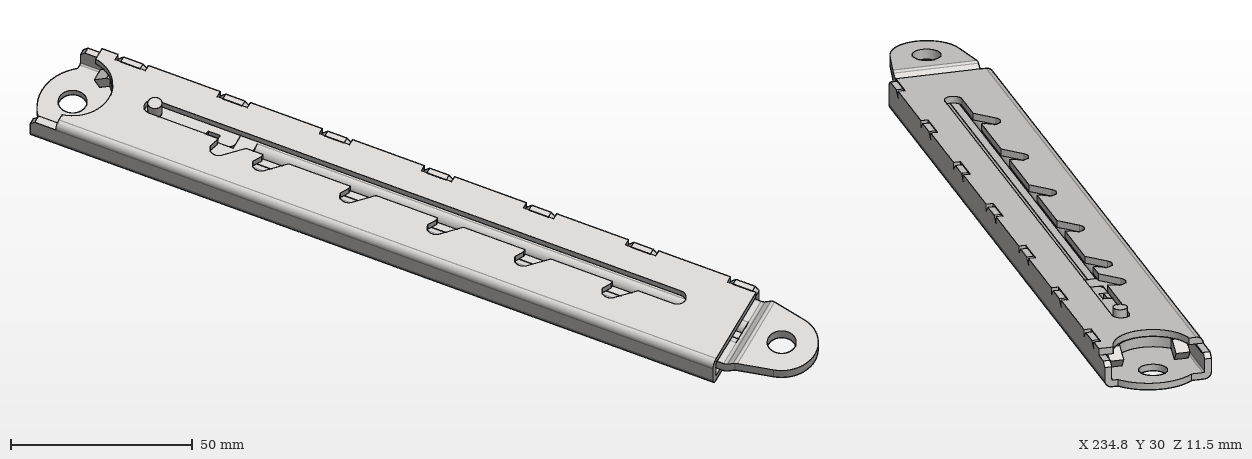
import cadquery as cq
import math

LENGTH = 234.8

SHEET = 2.0
WIDTH = 30.0
HALF_WIDTH = WIDTH / 2
HEIGHT = 9.5
HOUSING_END = 210.8
CEILING = HEIGHT - SHEET
OUTER_BEND = 2.0
INNER_BEND = 0.5
FRONT_WALL_START = 3.5
BACK_WALL_START = 5.6
WALL_CHAMFER = 1.5
LUG_RADIUS = 14.0
TOP_PLATE_START = 11.3
TOP_CUTOUT_RADIUS = 11.0

HOLE_DIAMETER = 8.0
FLOOR_HOLE_X = 9.5
LUG_HOLE_X = 224.7

PIN_Y = 2.23
SLOT_WIDTH = 5.0
SLOT_RADIUS = SLOT_WIDTH / 2
SLOT_START = 30.3
SLOT_END = 194.5
SEAT_RADIUS = SLOT_RADIUS
SEAT_Y = -3.5
ENTRY_SEAT_X = 55.5
FIRST_SEAT_X = 68.3
SEAT_PITCH = 26.5
SEAT_COUNT = 5
SEAT_LIP = 1.05
ENTRY_LIP = 1.75

NOTCH_START = 16.2
NOTCH_PITCH = 31.0
NOTCH_COUNT = 7
NOTCH_LENGTH = 9.2
TAB_SLOPE = 1.6
TAB_SINK = 0.2

WINDOW_START = 48.8
WINDOW_END = 59.0
WINDOW_BOTTOM = -0.7
WINDOW_TOP = 3.0

BAR_THICKNESS = 3.0
BAR_TOP = CEILING
BAR_BOTTOM = BAR_TOP - BAR_THICKNESS
BAR_HALF_WIDTH = 12.2
BEND_START = 213.5
BEND_END = 216.2
BEND_RADIUS = 2.0
LUG_TIP_RADIUS = LENGTH - LUG_HOLE_X
LEG_TIP_X = 12.5
LEG_BEND_X = 16.2
LEG_ROOT_X = 17.1
LEG_INNER_Y = 7.5
LEG_OUTER_Y = 11.5
LEG_TIP_Z = 4.7
LEG_HEEL_X = 14.0
LEG_HEEL_Z = 2.23
BAR_CUTOUT_RADIUS = 10.8

GROOVE_START = 63.6
GROOVE_END = 212.7
GROOVE_HALF_WIDTH = 4.0
GROOVE_FLOOR_HALF_WIDTH = 1.2
GROOVE_DEPTH = 1.9
RIB_BOTTOM = BAR_BOTTOM - GROOVE_DEPTH
RIB_BOTTOM_HALF_WIDTH = 2.0

PIN_X = 33.3
PIN_DIAMETER = 4.0
PIN_PROJECTION = 1.97
PIN_TOP = HEIGHT + PIN_PROJECTION
LINK_HALF_WIDTH = 4.2
LINK_END = 58.2
LINK_CORNER = 1.9
RECESS_START = 49.5
RECESS_END = 53.0
RECESS_TOP = 2.3
TONGUE_TOP = 1.05
RECESS_DRAFT = 1.2


def box(x0, x1, y0, y1, z0, z1):
    return cq.Workplane("XY").box(x1 - x0, y1 - y0, z1 - z0, centered=False).translate((x0, y0, z0))


def cylinder(x, y, radius, z0, z1):
    return cq.Workplane("XY", origin=(x, y, z0)).circle(radius).extrude(z1 - z0)


def mounting_hole(x):
    return cylinder(x, 0, HOLE_DIAMETER / 2, -HEIGHT, 2 * HEIGHT)


def channel():
    """Box section; the edge between the +Y wall and the top plate stays sharp."""
    outside = box(0, HOUSING_END, -HALF_WIDTH, HALF_WIDTH, 0, HEIGHT)
    outside = outside.edges("|X").edges("<Z or <Y").fillet(OUTER_BEND)
    inner_y = HALF_WIDTH - SHEET
    inside = box(0, HOUSING_END, -inner_y, inner_y, SHEET, CEILING)
    inside = inside.edges("|X").edges("<Z or <Y").fillet(INNER_BEND)
    return outside.cut(inside)


def floor_outline():
    """Plan of everything below the top plate: walls set back beside a rounded end."""
    front_arc_y = -math.sqrt(2 * LUG_RADIUS * FRONT_WALL_START - FRONT_WALL_START**2)
    back_arc_y = math.sqrt(2 * LUG_RADIUS * BACK_WALL_START - BACK_WALL_START**2)
    return (
        cq.Workplane("XY")
        .moveTo(HOUSING_END, -HALF_WIDTH)
        .lineTo(FRONT_WALL_START, -HALF_WIDTH)
        .lineTo(FRONT_WALL_START, front_arc_y)
        .threePointArc((0, 0), (BACK_WALL_START, back_arc_y))
        .lineTo(BACK_WALL_START, HALF_WIDTH)
        .lineTo(HOUSING_END, HALF_WIDTH)
        .close()
        .extrude(HEIGHT)
    )


def wall_corner(x, y0, y1):
    """Wedge that bevels the upper corner of a wall's free end."""
    return (
        cq.Workplane("XZ", origin=(0, y1, 0))
        .polyline([(x, CEILING), (x + WALL_CHAMFER, CEILING), (x, CEILING - WALL_CHAMFER)])
        .close()
        .extrude(y1 - y0)
    )


def hook_seat(x, lip_x):
    """Seat for the pin: round bottom, 45 degree ramp on the +X side, hook tip at lip_x."""
    ramp = SEAT_RADIUS * math.sqrt(0.5)
    mid_angle = math.pi / 8
    mouth_rise = PIN_Y - SEAT_Y
    ramp_mouth_x = x + 2 * ramp + mouth_rise
    return (
        cq.Workplane("XY", origin=(0, 0, CEILING))
        .moveTo(lip_x, PIN_Y)
        .lineTo(lip_x, SEAT_Y + SEAT_RADIUS)
        .lineTo(x - SEAT_RADIUS, SEAT_Y)
        .threePointArc((x - ramp, SEAT_Y - ramp), (x, SEAT_Y - SEAT_RADIUS))
        .threePointArc(
            (x + SEAT_RADIUS * math.sin(mid_angle), SEAT_Y - SEAT_RADIUS * math.cos(mid_angle)),
            (x + ramp, SEAT_Y - ramp),
        )
        .lineTo(ramp_mouth_x, PIN_Y)
        .close()
        .extrude(SHEET)
    )


def guide_slot():
    length = SLOT_END - SLOT_START
    slot = (
        cq.Workplane("XY", origin=(SLOT_START + length / 2, PIN_Y, CEILING))
        .slot2D(length, SLOT_WIDTH)
        .extrude(SHEET)
    )
    slot = slot.union(hook_seat(ENTRY_SEAT_X, ENTRY_SEAT_X - ENTRY_LIP))
    for i in range(SEAT_COUNT):
        x = FIRST_SEAT_X + i * SEAT_PITCH
        slot = slot.union(hook_seat(x, x - SEAT_LIP))
    return slot


def tab_notch(x):
    """Notch in the +Y edge of the top plate, less the tapered wall tab standing in it."""
    inner_y = HALF_WIDTH - SHEET
    end = x + NOTCH_LENGTH
    tab_top = HEIGHT - TAB_SINK
    notch = box(x, end, inner_y, HALF_WIDTH, CEILING, HEIGHT)
    tab = (
        cq.Workplane("XZ", origin=(0, HALF_WIDTH, 0))
        .polyline([(x, CEILING), (x + TAB_SLOPE, tab_top), (end - TAB_SLOPE, tab_top), (end, CEILING)])
        .close()
        .extrude(SHEET)
    )
    return notch.cut(tab)


def make_housing():
    housing = channel().intersect(floor_outline())
    housing = housing.cut(box(0, TOP_PLATE_START, -HALF_WIDTH, HALF_WIDTH, CEILING, HEIGHT))
    housing = housing.cut(cylinder(FLOOR_HOLE_X, 0, TOP_CUTOUT_RADIUS, CEILING, HEIGHT))
    housing = housing.cut(wall_corner(FRONT_WALL_START, -HALF_WIDTH, 0))
    housing = housing.cut(wall_corner(BACK_WALL_START, 0, HALF_WIDTH))
    housing = housing.cut(mounting_hole(FLOOR_HOLE_X))
    housing = housing.cut(guide_slot())
    for i in range(NOTCH_COUNT):
        housing = housing.cut(tab_notch(NOTCH_START + i * NOTCH_PITCH))
    return housing.cut(box(WINDOW_START, WINDOW_END, WINDOW_BOTTOM, WINDOW_TOP, 0, SHEET))


def bar_side_profile():
    """Slider seen along Y: flat bar, upward jog and raised lug, as one bent strip."""
    lug_bottom = HEIGHT - BAR_THICKNESS
    strip = (
        cq.Workplane("XZ", origin=(0, BAR_HALF_WIDTH, 0))
        .moveTo(LEG_BEND_X, BAR_BOTTOM)
        .lineTo(BEND_START, BAR_BOTTOM)
        .lineTo(BEND_END, lug_bottom)
        .lineTo(LENGTH, lug_bottom)
        .lineTo(LENGTH, HEIGHT)
        .lineTo(BEND_END, HEIGHT)
        .lineTo(BEND_START, BAR_TOP)
        .lineTo(LEG_BEND_X, BAR_TOP)
        .close()
        .extrude(2 * BAR_HALF_WIDTH)
    )
    bends = cq.selectors.BoxSelector(
        (BEND_START - BEND_RADIUS, -HALF_WIDTH, 0), (BEND_END + BEND_RADIUS, HALF_WIDTH, 2 * HEIGHT)
    )
    return strip.edges("|Y").edges(bends).fillet(BEND_RADIUS)


def bar_outline():
    """Plan of the slider: straight sides that run tangentially into the rounded tip."""
    reach = LUG_HOLE_X - BEND_END
    corner_distance = math.hypot(reach, BAR_HALF_WIDTH)
    tangent_angle = math.atan2(BAR_HALF_WIDTH, -reach) - math.acos(LUG_TIP_RADIUS / corner_distance)
    tangent_x = LUG_HOLE_X + LUG_TIP_RADIUS * math.cos(tangent_angle)
    tangent_y = LUG_TIP_RADIUS * math.sin(tangent_angle)
    return (
        cq.Workplane("XY")
        .moveTo(0, -BAR_HALF_WIDTH)
        .lineTo(BEND_END, -BAR_HALF_WIDTH)
        .lineTo(tangent_x, -tangent_y)
        .threePointArc((LENGTH, 0), (tangent_x, tangent_y))
        .lineTo(BEND_END, BAR_HALF_WIDTH)
        .lineTo(0, BAR_HALF_WIDTH)
        .close()
        .extrude(HEIGHT)
    )


def leg(y0, y1):
    """Leg at the -X end of the slider, bent down towards the housing floor."""
    return (
        cq.Workplane("XZ", origin=(0, y1, 0))
        .polyline([
            (LEG_ROOT_X, BAR_TOP),
            (LEG_BEND_X, BAR_TOP),
            (LEG_TIP_X, LEG_TIP_Z),
            (LEG_HEEL_X, LEG_HEEL_Z),
            (LEG_ROOT_X, BAR_BOTTOM),
        ])
        .close()
        .extrude(y1 - y0)
    )


def rib():
    """Underside of the pressed groove."""
    return (
        cq.Workplane("YZ", origin=(GROOVE_START, 0, 0))
        .polyline([
            (-GROOVE_HALF_WIDTH, BAR_BOTTOM),
            (-RIB_BOTTOM_HALF_WIDTH, RIB_BOTTOM),
            (RIB_BOTTOM_HALF_WIDTH, RIB_BOTTOM),
            (GROOVE_HALF_WIDTH, BAR_BOTTOM),
        ])
        .close()
        .extrude(GROOVE_END - GROOVE_START)
    )


def groove():
    """Groove with a flat floor and convex flanks tangent to the bar's top."""
    floor_z = BAR_TOP - GROOVE_DEPTH
    flank = GROOVE_HALF_WIDTH - GROOVE_FLOOR_HALF_WIDTH
    flank_radius = (flank**2 + GROOVE_DEPTH**2) / (2 * GROOVE_DEPTH)
    half_angle = math.asin(flank / flank_radius) / 2
    mid_y = GROOVE_HALF_WIDTH - flank_radius * math.sin(half_angle)
    mid_z = BAR_TOP - flank_radius * (1 - math.cos(half_angle))
    return (
        cq.Workplane("YZ", origin=(GROOVE_START, 0, 0))
        .moveTo(-GROOVE_HALF_WIDTH, BAR_TOP)
        .threePointArc((-mid_y, mid_z), (-GROOVE_FLOOR_HALF_WIDTH, floor_z))
        .lineTo(GROOVE_FLOOR_HALF_WIDTH, floor_z)
        .threePointArc((mid_y, mid_z), (GROOVE_HALF_WIDTH, BAR_TOP))
        .close()
        .extrude(GROOVE_END - GROOVE_START)
    )


def link_blank(recess_top):
    """Catch link with a round -X end and a recess of the given height in its -Y side."""
    low_y = PIN_Y - LINK_HALF_WIDTH
    high_y = PIN_Y + LINK_HALF_WIDTH
    head_low_y = PIN_Y - SLOT_RADIUS
    return (
        cq.Workplane("XY", origin=(0, 0, BAR_BOTTOM))
        .moveTo(PIN_X, low_y)
        .lineTo(RECESS_START - RECESS_DRAFT, low_y)
        .lineTo(RECESS_START, recess_top)
        .lineTo(RECESS_END, recess_top)
        .lineTo(RECESS_END, head_low_y)
        .lineTo(LINK_END, head_low_y)
        .lineTo(LINK_END, high_y)
        .lineTo(PIN_X, high_y)
        .threePointArc((PIN_X - LINK_HALF_WIDTH, PIN_Y), (PIN_X, low_y))
        .close()
        .extrude(BAR_THICKNESS)
    )


def make_slider():
    bar = bar_side_profile().intersect(bar_outline())
    bar = bar.cut(box(0, LEG_ROOT_X, -HALF_WIDTH, HALF_WIDTH, 0, HEIGHT))
    bar = bar.union(leg(LEG_INNER_Y, LEG_OUTER_Y))
    bar = bar.union(leg(-LEG_OUTER_Y, -LEG_INNER_Y))
    clearance = cylinder(FLOOR_HOLE_X, 0, BAR_CUTOUT_RADIUS, BAR_BOTTOM, BAR_TOP)
    between_legs = box(0, HOUSING_END, -LEG_INNER_Y, LEG_INNER_Y, 0, HEIGHT)
    bar = bar.cut(clearance.intersect(between_legs))
    bar = bar.union(rib()).cut(groove())
    bar = bar.cut(mounting_hole(LUG_HOLE_X))
    return bar.cut(link_blank(TONGUE_TOP))


def make_link():
    link = link_blank(RECESS_TOP)
    link = link.edges("|Z").edges(">X").edges("<Y").fillet(LINK_CORNER)
    return link.cut(make_pin())


def make_pin():
    return cylinder(PIN_X, PIN_Y, PIN_DIAMETER / 2, SHEET, PIN_TOP)


housing = make_housing()
slider = make_slider()
link = make_link()
pin = make_pin()

result = cq.Compound.makeCompound([housing.val(), slider.val(), link.val(), pin.val()])